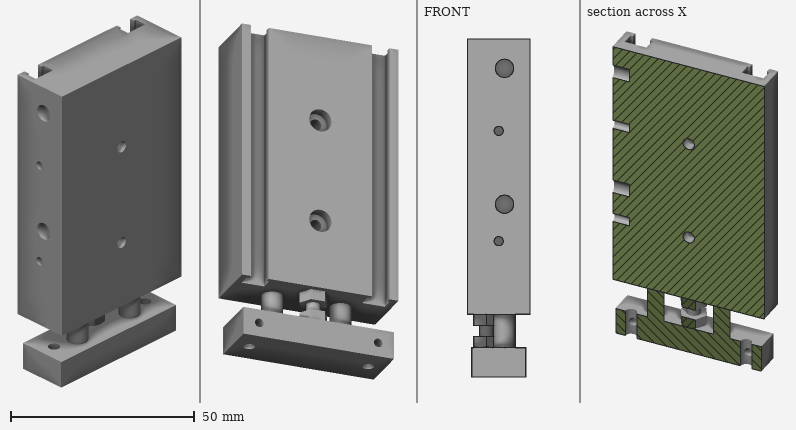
import cadquery as cq
import math

TOTAL_LENGTH = 92.0
HOUSING_DEPTH = 17.0
HOUSING_WIDTH = 46.0
HOUSING_LENGTH = 75.0
HOUSING_BOTTOM = TOTAL_LENGTH - HOUSING_LENGTH
FACE_X = -HOUSING_DEPTH / 2
SIDE_Y = -HOUSING_WIDTH / 2

SLOT_OFFSET = 17.8
SLOT_NECK_WIDTH = 5.15
SLOT_NECK_DEPTH = 1.5
SLOT_WIDTH = 6.6
SLOT_DEPTH = 5.1

LEVELS_FROM_TOP = (25.0, 55.0)
MOUNT_HOLE_DIA = 3.3
COUNTERBORE_DIA = 6.5
COUNTERBORE_DEPTH = 3.3
PORTS_FROM_TOP = (8.0, 45.0)
PORT_DIA = 5.0
PORT_DEPTH = 5.0
THREAD_DIA = 2.5
THREAD_DEPTH = 5.0

PLATE_DEPTH = 14.7
PLATE_WIDTH = 44.25
PLATE_THICKNESS = 8.0
PLATE_HOLE_OFFSET = 17.5
PLATE_HOLE_DIA = 3.3
ROD_DIA = 6.0
ROD_X = 1.6
ROD_OFFSET = 10.0

BOLT_X = -3.3
BOLT_SHANK_DIA = 4.0
HEX_FLATS = 7.0
HEX_HEIGHT = 3.0
HEX_CHAMFER_ANGLE = 30.0


def rod_along(direction, start, diameter, length):
    """Cylinder from a start point along a direction."""
    return cq.Workplane(cq.Solid.makeCylinder(diameter / 2, length, cq.Vector(*start), cq.Vector(*direction)))


def block_from_face(depth, width, y):
    """Full-length cutter sunk into the mounting face."""
    return (
        cq.Workplane("XY")
        .box(depth, width, HOUSING_LENGTH, centered=(False, True, False))
        .translate((FACE_X, y, HOUSING_BOTTOM))
    )


def t_slot(y):
    neck = block_from_face(SLOT_DEPTH, SLOT_NECK_WIDTH, y)
    cavity = block_from_face(SLOT_DEPTH - SLOT_NECK_DEPTH, SLOT_WIDTH, y)
    return neck.union(cavity.translate((SLOT_NECK_DEPTH, 0, 0)))


def make_housing():
    body = (
        cq.Workplane("XY")
        .box(HOUSING_DEPTH, HOUSING_WIDTH, HOUSING_LENGTH, centered=(True, True, False))
        .translate((0, 0, HOUSING_BOTTOM))
    )
    for y in (-SLOT_OFFSET, SLOT_OFFSET):
        body = body.cut(t_slot(y))
    for drop in LEVELS_FROM_TOP:
        z = TOTAL_LENGTH - drop
        body = body.cut(rod_along((1, 0, 0), (FACE_X, 0, z), MOUNT_HOLE_DIA, HOUSING_DEPTH))
        body = body.cut(rod_along((1, 0, 0), (FACE_X, 0, z), COUNTERBORE_DIA, COUNTERBORE_DEPTH))
        body = body.cut(rod_along((0, 1, 0), (0, SIDE_Y, z), THREAD_DIA, THREAD_DEPTH))
    for drop in PORTS_FROM_TOP:
        z = TOTAL_LENGTH - drop
        body = body.cut(rod_along((0, 1, 0), (ROD_X, SIDE_Y, z), PORT_DIA, PORT_DEPTH))
    return body


def make_end_plate():
    plate = cq.Workplane("XY").box(PLATE_DEPTH, PLATE_WIDTH, PLATE_THICKNESS, centered=(True, True, False))
    rod_length = HOUSING_BOTTOM - PLATE_THICKNESS
    for side in (-1, 1):
        rod_start = (ROD_X, side * ROD_OFFSET, PLATE_THICKNESS)
        plate = plate.union(rod_along((0, 0, 1), rod_start, ROD_DIA, rod_length))
        hole_y = side * PLATE_HOLE_OFFSET
        plate = plate.cut(rod_along((0, 0, 1), (0, hole_y, 0), PLATE_HOLE_DIA, PLATE_THICKNESS))
        thread_start = (-PLATE_DEPTH / 2, hole_y, PLATE_THICKNESS / 2)
        plate = plate.cut(rod_along((1, 0, 0), thread_start, THREAD_DIA, PLATE_DEPTH / 2))
    return plate


def hexagon(z):
    """Hexagonal prism with corners on the Y axis."""
    corner_dia = HEX_FLATS / math.cos(math.radians(30))
    return (
        cq.Workplane("XY")
        .polygon(6, corner_dia)
        .extrude(HEX_HEIGHT)
        .rotate((0, 0, 0), (0, 0, 1), 90)
        .translate((BOLT_X, 0, z))
    )


def chamfer_bottom(head):
    """Trim the bottom corners with a cone that starts at the circle inside the flats."""
    base_radius = HEX_FLATS / 2
    top_radius = base_radius + HEX_HEIGHT / math.tan(math.radians(HEX_CHAMFER_ANGLE))
    cone = cq.Solid.makeCone(base_radius, top_radius, HEX_HEIGHT, cq.Vector(BOLT_X, 0, PLATE_THICKNESS))
    return head.intersect(cq.Workplane(cone))


def make_stop_bolt():
    length = HOUSING_BOTTOM - PLATE_THICKNESS
    shank = rod_along((0, 0, 1), (BOLT_X, 0, PLATE_THICKNESS), BOLT_SHANK_DIA, length)
    head = chamfer_bottom(hexagon(PLATE_THICKNESS))
    nut = hexagon(HOUSING_BOTTOM - HEX_HEIGHT)
    return shank.union(head).union(nut)


housing = make_housing()
end_plate = make_end_plate()
stop_bolt = make_stop_bolt()

result = cq.Compound.makeCompound([housing.val(), end_plate.val(), stop_bolt.val()])